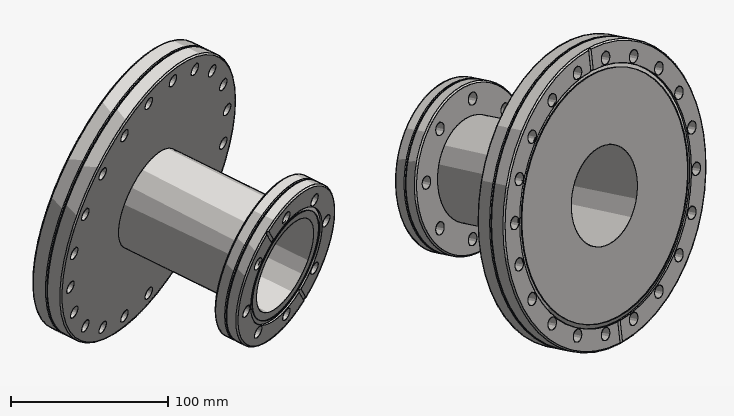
import math

import cadquery as cq

overall_length = 127.0
tube_diameter = 70.0
bore_diameter = 66.0

large_flange = {
    "diameter": 202.5,
    "thickness": 22.3,
    "recess_diameter": 171.5,
    "knife_diameter": 166.0,
    "bolt_circle": 181.0,
    "bolt_count": 20,
}
small_flange = {
    "diameter": 113.7,
    "thickness": 17.5,
    "recess_diameter": 82.5,
    "knife_diameter": 77.1,
    "bolt_circle": 92.0,
    "bolt_count": 8,
}

bolt_hole_diameter = 8.5
rim_chamfer = 1.0
rim_groove_width = 1.6
rim_groove_depth = 0.3
recess_depth = 1.5
knife_tip_depth = 0.5
inner_floor_depth = 1.0
leak_groove_width = 2.5
leak_groove_depth = 0.6


def flange_disc(flange):
    """Revolve the flange about X, sealing face at X = 0 and back at X = thickness."""
    radius = flange["diameter"] / 2
    thickness = flange["thickness"]
    recess_radius = flange["recess_diameter"] / 2
    knife_radius = flange["knife_diameter"] / 2
    middle = thickness / 2
    half_groove = rim_groove_width / 2
    return (
        cq.Workplane("XY")
        .moveTo(inner_floor_depth, 0)
        .lineTo(inner_floor_depth, knife_radius)
        .lineTo(knife_tip_depth, knife_radius)
        .lineTo(recess_depth, recess_radius)
        .lineTo(0, recess_radius)
        .lineTo(0, radius - rim_chamfer)
        .lineTo(rim_chamfer, radius)
        .lineTo(middle - half_groove, radius)
        .lineTo(middle, radius - rim_groove_depth)
        .lineTo(middle + half_groove, radius)
        .lineTo(thickness - rim_chamfer, radius)
        .lineTo(thickness, radius - rim_chamfer)
        .lineTo(thickness, 0)
        .close()
        .revolve(360, (0, 0, 0), (1, 0, 0))
    )


def bolt_holes(flange):
    """Through holes evenly spaced on the bolt circle, the first one on the Y axis."""
    return (
        cq.Workplane("YZ")
        .polarArray(flange["bolt_circle"] / 2, 0, 360, flange["bolt_count"])
        .circle(bolt_hole_diameter / 2)
        .extrude(flange["thickness"])
    )


def leak_grooves(flange):
    """Two opposite round-bottomed grooves from the recess to the rim, midway between holes."""
    half_pitch = 180 / flange["bolt_count"]
    recess_radius = flange["recess_diameter"] / 2
    start = math.sqrt(recess_radius**2 - (leak_groove_width / 2) ** 2)
    groove = (
        cq.Workplane("XY", origin=(0, 0, start))
        .moveTo(0, -leak_groove_width / 2)
        .threePointArc((leak_groove_depth, 0), (0, leak_groove_width / 2))
        .close()
        .extrude(flange["diameter"] / 2 - start)
        .rotate((0, 0, 0), (1, 0, 0), -half_pitch)
    )
    return groove.union(groove.rotate((0, 0, 0), (1, 0, 0), 180))


def make_flange(flange):
    return flange_disc(flange).cut(bolt_holes(flange)).cut(leak_grooves(flange))


large_end = make_flange(large_flange)
small_end = (
    make_flange(small_flange)
    .rotate((0, 0, 0), (0, 0, 1), 180)
    .translate((overall_length, 0, 0))
)

tube_length = overall_length - large_flange["thickness"] - small_flange["thickness"]
tube = (
    cq.Workplane("YZ", origin=(large_flange["thickness"], 0, 0))
    .circle(tube_diameter / 2)
    .extrude(tube_length)
)

bore = cq.Workplane("YZ").circle(bore_diameter / 2).extrude(overall_length)

result = large_end.union(tube).union(small_end).cut(bore)